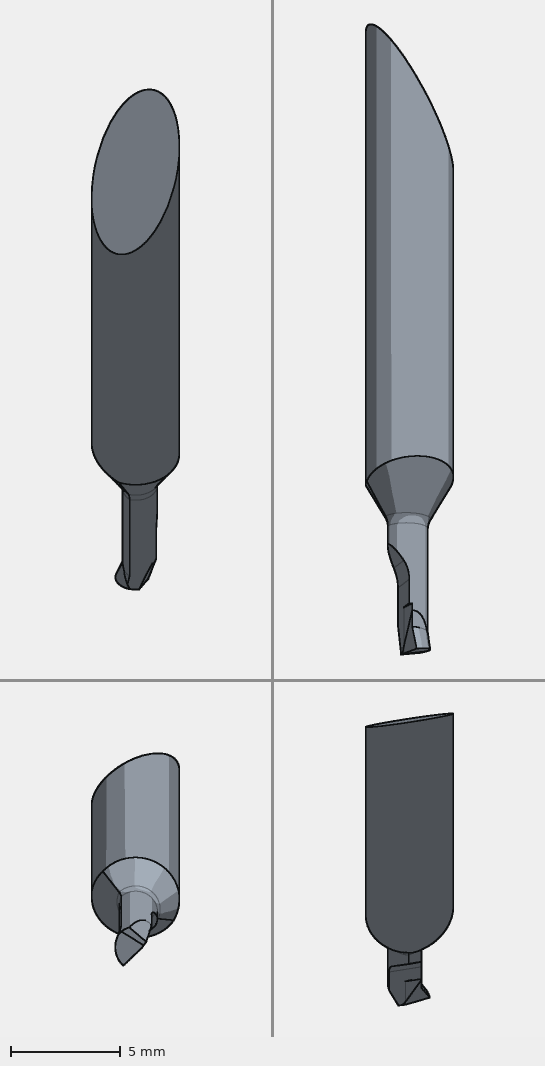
import cadquery as cq
import math

total_length = 29.7
shank_diameter = 4.0
shank_radius = shank_diameter / 2
slant_angle = 30.0
slope = 1 / math.tan(math.radians(slant_angle))

neck_diameter = 2.0
neck_radius = neck_diameter / 2
neck_offset = 0.45
cone_shoulder_z = 8.08
neck_blend_radius = 0.9
cone_foot_z = cone_shoulder_z - (shank_radius - neck_radius) * slope
cone_reach = shank_radius + 2 * neck_offset

flare_height = 1.15
tip_reach = 0.95
end_rise_x = 0.1
end_rise_y = 0.2
split_top_z = 1.93
split_bottom_z = 0.35
split_bottom_x = neck_offset / 2

flat_y = 0.2
flat_runout_z = 5.25
flat_blend_radius = 1.78
rake_top_z = 2.25
clearance_start_z = 1.7
clearance_end_x = 0.55
clearance_end_z = 0.15

margin = 2.97
runout_overrun = 0.6


def stepped_round(center_x, start_z):
    """Round neck, blended into a cone and continued to the full length."""
    blend_length = neck_blend_radius * math.tan(math.radians(slant_angle / 2))
    blend_end = blend_length * math.sin(math.radians(slant_angle))
    blend_rise = blend_length * math.cos(math.radians(slant_angle))
    bend = math.radians(slant_angle / 2)
    blend_mid_x = neck_radius + neck_blend_radius * (1 - math.cos(bend))
    blend_mid_z = cone_foot_z - blend_length + neck_blend_radius * math.sin(bend)
    cone_top_z = cone_foot_z + (cone_reach - neck_radius) * slope
    return (
        cq.Workplane("XZ")
        .moveTo(0, start_z)
        .lineTo(neck_radius, start_z)
        .lineTo(neck_radius, cone_foot_z - blend_length)
        .threePointArc((blend_mid_x, blend_mid_z), (neck_radius + blend_end, cone_foot_z + blend_rise))
        .lineTo(cone_reach, cone_top_z)
        .lineTo(cone_reach, total_length)
        .lineTo(0, total_length)
        .close()
        .revolve(360, (0, 0), (0, 1))
        .translate((center_x, 0, 0))
    )


def tip_flare():
    """Oblique cylinder leaning from the cutting corner to the offset neck."""
    return (
        cq.Workplane("XY")
        .center(neck_radius - tip_reach, 0)
        .circle(neck_radius)
        .workplane(offset=flare_height)
        .center(neck_offset - (neck_radius - tip_reach), 0)
        .circle(neck_radius)
        .loft(ruled=True, combine=True)
    )


def slanted_bar():
    """Shank outline with the rear end sloping down toward -Y."""
    return (
        cq.Workplane("YZ")
        .moveTo(-shank_radius, 0)
        .lineTo(shank_radius, 0)
        .lineTo(shank_radius, total_length)
        .lineTo(-shank_radius, total_length - shank_diameter * slope)
        .close()
        .extrude(shank_radius, both=True)
        .intersect(cq.Workplane("XY").circle(shank_radius).extrude(total_length))
    )


def chip_flat():
    """Flat along the +Y side of the neck with a blended, sloping runout."""
    runout_y = neck_radius + runout_overrun
    flat_top_z = flat_runout_z - (neck_radius - flat_y) * slope
    return (
        cq.Workplane("YZ")
        .moveTo(flat_y, -margin)
        .lineTo(flat_y, flat_top_z)
        .lineTo(runout_y, flat_top_z + (runout_y - flat_y) * slope)
        .lineTo(runout_y, -margin)
        .close()
        .extrude(margin, both=True)
        .edges(cq.selectors.NearestToPointSelector((0, flat_y, flat_top_z)))
        .fillet(flat_blend_radius)
    )


def rake_wedge():
    """Rake face falling from the chip flat to Y = 0 at the cutting corner."""
    return (
        cq.Workplane("XY")
        .polyline([(-tip_reach, 0), (neck_offset / 2, flat_y), (-tip_reach, flat_y)])
        .close()
        .extrude(rake_top_z)
    )


def side_clearance():
    """Sloping relief on the +X side of the lower end."""
    return (
        cq.Workplane("XZ")
        .polyline([
            (neck_radius, clearance_start_z),
            (clearance_end_x, clearance_end_z),
            (clearance_end_x, -margin),
            (neck_radius, -margin),
        ])
        .close()
        .extrude(margin, both=True)
    )


def end_relief():
    """Block below the tilted end face, which passes through the cutting corner."""
    face = cq.Plane(
        origin=(-tip_reach, 0, 0),
        xDir=(1, 0, end_rise_x),
        normal=(-end_rise_x, end_rise_y, 1),
    )
    return cq.Workplane(face).rect(4 * margin, 4 * margin).extrude(-margin)


def tip_region():
    """Region below the slanted joint between the tip and the shank."""
    neck_left_x = neck_offset - neck_radius
    joint_slope = (split_top_z - split_bottom_z) / (split_bottom_x - neck_left_x)
    return (
        cq.Workplane("XZ")
        .polyline([
            (-margin, split_top_z + (neck_left_x + margin) * joint_slope),
            (split_bottom_x + margin, split_bottom_z - margin * joint_slope),
            (-margin, split_bottom_z - margin * joint_slope),
        ])
        .close()
        .extrude(margin, both=True)
    )


offset_side = stepped_round(neck_offset, flare_height).union(tip_flare())
tool = slanted_bar().intersect(stepped_round(0, 0)).intersect(offset_side)
tool = tool.cut(chip_flat()).cut(rake_wedge()).cut(side_clearance()).cut(end_relief())

lower_end = cq.Workplane("XY").box(
    2 * margin, 2 * margin, rake_top_z, centered=(True, True, False)
)
tip_space = tip_region().intersect(lower_end)
shank = tool.cut(tip_space)
tip = tool.intersect(tip_space)

result = cq.Compound.makeCompound([shank.val(), tip.val()])